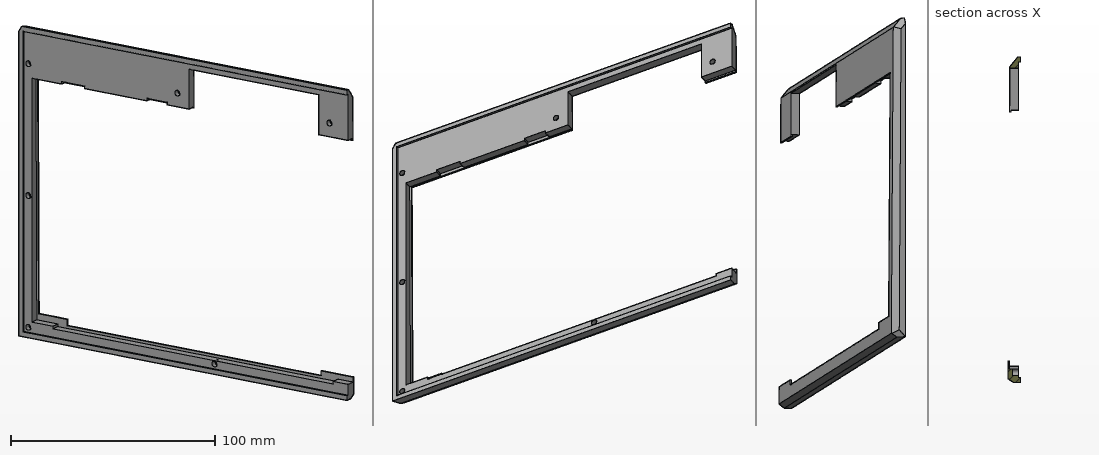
import cadquery as cq

LENGTH = 192.0
HEIGHT = 159.5
DEPTH = 6.3
TOP_DEPTH = 5.4

TOP_WALL_DEPTH = 1.5
TOP_BEVEL_HEIGHT = 4.8
BOTTOM_WALL_DEPTH = 3.6
BOTTOM_BEVEL_HEIGHT = 2.0
LEFT_BEVEL = 3.0

TOP_FACET_X = 1.82
TOP_FACET_Y = 2.5
TOP_FACET_Z = 3.0
BOTTOM_FACET_NORMAL = (-1.5, 1.0, -1.0)

RIM_WIDTH = 2.5
PANEL_RECESS = 1.05

STILE_WIDTH = 7.1
TOP_PANEL_HEIGHT = 26.1
SILL_HEIGHT = 8.0
SILL_RECESS_DROP = 1.3
SILL_RECESS_START = 19.4
SILL_RECESS_END = 183.2
NOTCH_DEPTH = 1.3
NOTCH_SPANS = [(24.5, 37.8), (74.3, 86.2)]

LIP_THICKNESS = 0.8
SIDE_LIP = 1.0
TOP_LIP = 0.4
END_TAB_LIP = 1.0
LEFT_TAB_TOP = 11.3
LEFT_TAB_END = 24.8
RIGHT_TAB_TOP = 10.5
RIGHT_TAB_START = 173.2

GAP_START = 99.1
GAP_END = 174.8
RAIL_HEIGHT = 5.5

HOLE_DIAMETER = 2.9
HOLE_DEPTH = 2.9
HOLE_INSET = 5.0
UPPER_HOLE_Z = HEIGHT - 19.0
MIDDLE_HOLE_Z = 72.8
HOLE_CENTERS = [
    (HOLE_INSET, HOLE_INSET),
    (HOLE_INSET, MIDDLE_HOLE_Z),
    (HOLE_INSET, UPPER_HOLE_Z),
    (92.2, UPPER_HOLE_Z),
    (181.1, UPPER_HOLE_Z),
    (113.9, HOLE_INSET),
]

OVERSHOOT = 9.6
TRIM_SIZE = 4 * LENGTH

BACK_LOW_Z = BOTTOM_BEVEL_HEIGHT
BACK_HIGH_Z = HEIGHT - TOP_BEVEL_HEIGHT
BACK_TAPER = (DEPTH - TOP_DEPTH) / (BACK_HIGH_Z - BACK_LOW_Z)


def back_depth(z):
    """Y of the sloping back plane at height z."""
    return DEPTH - BACK_TAPER * (z - BACK_LOW_Z)


def box(x_span, y_span, z_span):
    size = [span[1] - span[0] for span in (x_span, y_span, z_span)]
    return cq.Workplane("XY").box(*size, centered=False).translate((x_span[0], y_span[0], z_span[0]))


def front_prism(outline, depth):
    """Outline of (x, z) points, extruded from the front face toward +Y."""
    return cq.Workplane("XZ").polyline(outline).close().extrude(-depth)


def side_prism(outline):
    """Outline of (y, z) points, extruded along the full length and past its right end."""
    return cq.Workplane("YZ").polyline(outline).close().extrude(LENGTH + OVERSHOOT)


def trim(body, point, normal):
    """Remove everything on the normal side of a plane."""
    plane = cq.Plane(origin=point, normal=normal)
    return body.cut(cq.Workplane(plane).rect(TRIM_SIZE, TRIM_SIZE).extrude(TRIM_SIZE))


def outer_block():
    profile = [
        (0, 0),
        (BOTTOM_WALL_DEPTH, 0),
        (DEPTH, BACK_LOW_Z),
        (TOP_DEPTH, BACK_HIGH_Z),
        (TOP_WALL_DEPTH, HEIGHT),
        (0, HEIGHT),
    ]
    block = cq.Workplane("YZ").polyline(profile).close().extrude(LENGTH)
    block = trim(block, (0, back_depth(0) - LEFT_BEVEL, 0), (-1, 1, BACK_TAPER))
    top_facet_normal = (-1 / TOP_FACET_X, 1 / TOP_FACET_Y, 1 / TOP_FACET_Z)
    block = trim(block, (TOP_FACET_X, 0, HEIGHT), top_facet_normal)
    return trim(block, (0, 0, 0), BOTTOM_FACET_NORMAL)


def panel_recess():
    return box(
        (RIM_WIDTH, LENGTH + OVERSHOOT),
        (-OVERSHOOT, PANEL_RECESS),
        (RIM_WIDTH, HEIGHT - RIM_WIDTH),
    )


def front_window():
    """Opening in front of the lip."""
    right = LENGTH + OVERSHOOT
    panel_bottom = HEIGHT - TOP_PANEL_HEIGHT
    recess_z = SILL_HEIGHT - SILL_RECESS_DROP
    outline = [
        (STILE_WIDTH, SILL_HEIGHT),
        (SILL_RECESS_START, SILL_HEIGHT),
        (SILL_RECESS_START, recess_z),
        (SILL_RECESS_END, recess_z),
        (SILL_RECESS_END, SILL_HEIGHT),
        (right, SILL_HEIGHT),
        (right, panel_bottom),
        (STILE_WIDTH, panel_bottom),
    ]
    window = front_prism(outline, DEPTH)
    for start, end in NOTCH_SPANS:
        window = window.union(box((start, end), (0, DEPTH), (panel_bottom, panel_bottom + NOTCH_DEPTH)))
    in_front_of_lip = side_prism([
        (0, 0),
        (back_depth(0) - LIP_THICKNESS, 0),
        (back_depth(HEIGHT) - LIP_THICKNESS, HEIGHT),
        (0, HEIGHT),
    ])
    return window.intersect(in_front_of_lip)


def through_window():
    """Opening through the full depth, bounded by the lip and its tabs."""
    right = LENGTH + OVERSHOOT
    left = STILE_WIDTH + SIDE_LIP
    panel_bottom = HEIGHT - TOP_PANEL_HEIGHT
    outline = [
        (left, LEFT_TAB_TOP),
        (LEFT_TAB_END, LEFT_TAB_TOP),
        (LEFT_TAB_END, SILL_HEIGHT),
        (RIGHT_TAB_START, SILL_HEIGHT),
        (RIGHT_TAB_START, RIGHT_TAB_TOP),
        (right, RIGHT_TAB_TOP),
        (right, panel_bottom - END_TAB_LIP),
        (GAP_END, panel_bottom - END_TAB_LIP),
        (GAP_END, HEIGHT - RAIL_HEIGHT),
        (GAP_START, HEIGHT - RAIL_HEIGHT),
        (GAP_START, panel_bottom - TOP_LIP),
        (left, panel_bottom - TOP_LIP),
    ]
    return front_prism(outline, DEPTH + OVERSHOOT)


def panel_holes():
    floor = PANEL_RECESS + HOLE_DEPTH
    return cq.Workplane("XZ").pushPoints(HOLE_CENTERS).circle(HOLE_DIAMETER / 2).extrude(-floor)


result = (
    outer_block()
    .cut(panel_recess())
    .cut(front_window())
    .cut(through_window())
    .cut(panel_holes())
)